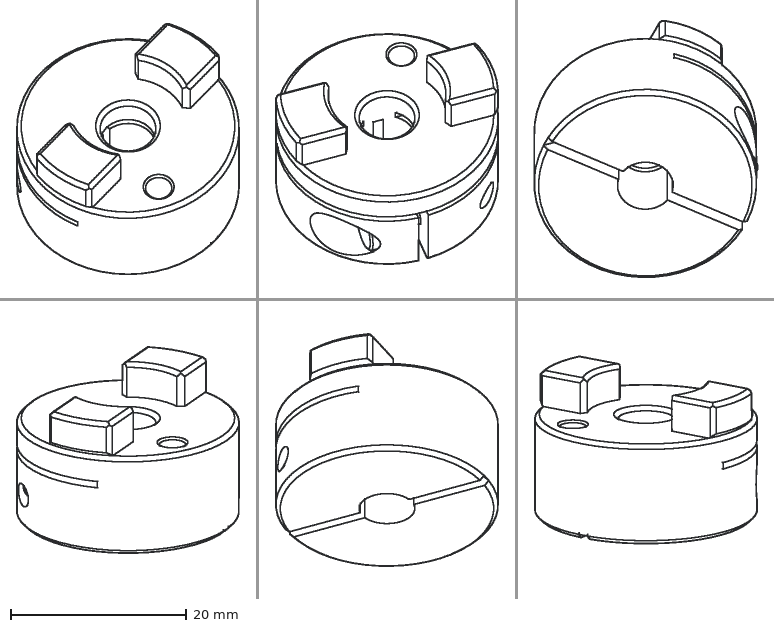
import cadquery as cq
import math

outer_radius = 12.7
body_height = 11.85
total_height = 16
edge_chamfer = 0.5
bore_diameter = 6.35

jaw_half_width = 4.01
jaw_inner_radius = 6.73
jaw_inner_corner_x = 3.23
jaw_inner_corner_side_y = 6.38
jaw_outer_corner_x = 3.55
jaw_outer_corner_side_y = 11.65

cross_slot_bottom = 8.0
cross_slot_top = 8.76
cross_slot_end_x = 2.55
slit_width = 1.2
slit_blade_radius = 20.32
slit_runout_x = outer_radius
slit_runout_z = edge_chamfer
slit_bore_exit_z = 7.4

screw_x = -8.76
screw_z = 4.01
screw_hole_diameter = 2.57
counterbore_diameter = 5.95
shank_diameter = 2.45
head_diameter = 5.5
head_top_y = 5.95
head_height = 3.0
head_chamfer = 0.25
screw_end_y = -6.85
screw_end_chamfer = 0.15

pin_hole_x = 8.1
pin_hole_y = -4.55
pin_hole_diameter = 3.0
pin_hole_chamfer = 0.25
pin_hole_depth = 5.08
drill_point_angle = 118


def on_circle(radius, x):
    """Y of the point at x on the +Y half of a circle about the origin."""
    return math.sqrt(radius**2 - x**2)


def cylinder_along_y(diameter, y_start, y_end):
    """Cylinder on the screw axis between two Y positions."""
    length = y_end - y_start
    base = cq.Vector(screw_x, y_start, screw_z)
    solid = cq.Solid.makeCylinder(diameter / 2, length, base, cq.Vector(0, 1, 0))
    return cq.Workplane(obj=solid)


def make_body():
    body = cq.Workplane().circle(outer_radius).extrude(body_height)
    body = body.faces("<Z or >Z").edges().chamfer(edge_chamfer)
    bore = cq.Workplane().circle(bore_diameter / 2).extrude(body_height)
    bored_body = body.cut(bore)
    bore_mouth = bored_body.faces(">Z").edges(cq.selectors.RadiusNthSelector(0))
    return bore_mouth.chamfer(edge_chamfer)


def arc_points(radius):
    """Left, middle and right points of an arc spanning the jaw width."""
    side_y = on_circle(radius, jaw_half_width)
    return (-jaw_half_width, side_y), (0, radius), (jaw_half_width, side_y)


def corner_cutter(side, arc_radius, corner_x, side_y):
    """Prism that bevels one vertical jaw corner, from the arc to the flat side."""
    corner_on_arc = (side * corner_x, on_circle(arc_radius, corner_x))
    middle_x = (corner_x + jaw_half_width) / 2
    return (
        cq.Workplane()
        .workplane(offset=body_height)
        .moveTo(*corner_on_arc)
        .lineTo(side * jaw_half_width, side_y)
        .lineTo(side * jaw_half_width, on_circle(arc_radius, jaw_half_width))
        .threePointArc(
            (side * middle_x, on_circle(arc_radius, middle_x)),
            corner_on_arc,
        )
        .close()
        .extrude(total_height - body_height)
    )


def make_jaw():
    """Jaw on the +Y side, its arcs concentric with the hub."""
    inner_left, inner_middle, inner_right = arc_points(jaw_inner_radius)
    outer_left, outer_middle, outer_right = arc_points(outer_radius)
    jaw = (
        cq.Workplane()
        .workplane(offset=body_height)
        .moveTo(*inner_left)
        .threePointArc(inner_middle, inner_right)
        .lineTo(*outer_right)
        .threePointArc(outer_middle, outer_left)
        .close()
        .extrude(total_height - body_height)
    )
    jaw = jaw.faces(">Z").edges().chamfer(edge_chamfer)
    for side in (-1, 1):
        jaw = jaw.cut(corner_cutter(side, jaw_inner_radius, jaw_inner_corner_x, jaw_inner_corner_side_y))
        jaw = jaw.cut(corner_cutter(side, outer_radius, jaw_outer_corner_x, jaw_outer_corner_side_y))
    undercut = (
        cq.Workplane("XZ")
        .moveTo(outer_radius - edge_chamfer, body_height)
        .lineTo(outer_radius, body_height)
        .lineTo(outer_radius, body_height + edge_chamfer)
        .close()
        .revolve(360, (0, 0, 0), (0, 1, 0))
    )
    return jaw.cut(undercut)


def make_cross_slot():
    """Horizontal slot from the -X side, with a flat end beyond the bore."""
    return cq.Workplane().box(
        outer_radius + cross_slot_end_x,
        2 * outer_radius,
        cross_slot_top - cross_slot_bottom,
        centered=(False, True, False),
    ).translate((-outer_radius, 0, cross_slot_bottom))


def make_slit():
    """Vertical slit: full height on the -X side, curved run-out on the +X side."""
    entry = cq.Workplane().box(
        outer_radius, slit_width, cross_slot_top, centered=(False, True, False)
    ).translate((-outer_radius, 0, 0))
    bore_exit_x = bore_diameter / 2
    run = slit_runout_x - bore_exit_x
    drop = slit_bore_exit_z - slit_runout_z
    chord = math.hypot(run, drop)
    center_distance = math.sqrt(slit_blade_radius**2 - (chord / 2) ** 2)
    center_x = (bore_exit_x + slit_runout_x) / 2 - center_distance * drop / chord
    center_z = (slit_bore_exit_z + slit_runout_z) / 2 - center_distance * run / chord
    blade = (
        cq.Workplane("XZ")
        .center(center_x, center_z)
        .circle(slit_blade_radius)
        .extrude(slit_width / 2, both=True)
    )
    runout_limits = cq.Workplane().box(
        outer_radius, slit_width, cross_slot_top, centered=(False, True, False)
    )
    return entry.union(blade.intersect(runout_limits))


def make_screw_hole():
    head_seat_y = head_top_y - head_height
    hole = cylinder_along_y(screw_hole_diameter, -outer_radius, outer_radius)
    return hole.union(cylinder_along_y(counterbore_diameter, head_seat_y, outer_radius))


def make_screw():
    head_seat_y = head_top_y - head_height
    head = cylinder_along_y(head_diameter, head_seat_y, head_top_y)
    head = head.faces(">Y").edges().chamfer(head_chamfer)
    shank = cylinder_along_y(shank_diameter, screw_end_y, head_seat_y)
    shank = shank.faces("<Y").edges().chamfer(screw_end_chamfer)
    return head.union(shank)


def make_pin_hole():
    """Drilled hole with a conical bottom and a chamfered mouth."""
    radius = pin_hole_diameter / 2
    point_depth = radius / math.tan(math.radians(drill_point_angle / 2))
    return (
        cq.Workplane("XZ")
        .lineTo(radius + pin_hole_chamfer, 0)
        .lineTo(radius, -pin_hole_chamfer)
        .lineTo(radius, -pin_hole_depth)
        .lineTo(0, -pin_hole_depth - point_depth)
        .close()
        .revolve(360, (0, 0, 0), (0, 1, 0))
        .translate((pin_hole_x, pin_hole_y, body_height))
    )


hub = make_body()
for cutter in (make_cross_slot(), make_slit(), make_screw_hole(), make_pin_hole()):
    hub = hub.cut(cutter)

jaw = make_jaw()
for jaw_angle in (0, 180):
    hub = hub.union(jaw.rotate((0, 0, 0), (0, 0, 1), jaw_angle))

result = hub.union(make_screw())